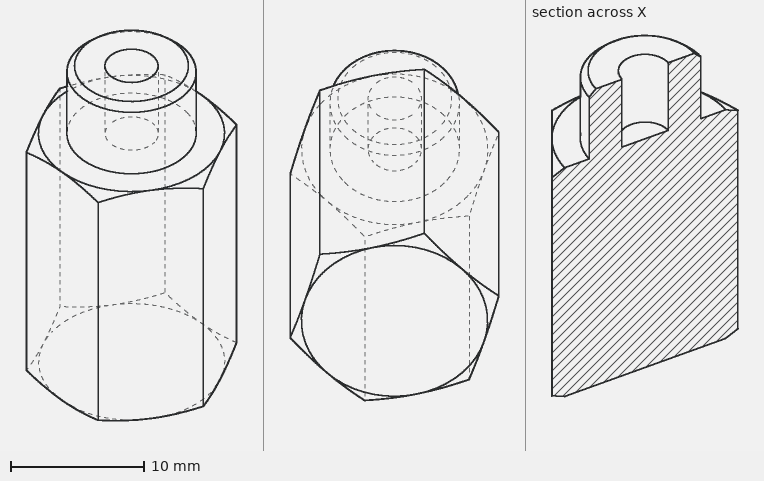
import cadquery as cq
import math

across_flats = 14.0
body_height = 22.0
half_sector_angle = 30.0
across_corners = across_flats / math.cos(math.radians(half_sector_angle))
corner_chamfer_angle = 25.0

stud_diameter = 9.73
stud_tip_diameter = 8.57
stud_length = 6.5
stud_chamfer = (stud_diameter - stud_tip_diameter) / 2

bore_diameter = 4.0
bore_depth = stud_length


def chamfer_envelope():
    """Round solid, coned at both ends, that trims the corners of the hexagon."""
    end_radius = across_flats / 2
    corner_radius = across_corners / 2
    cone_height = (corner_radius - end_radius) * math.tan(math.radians(corner_chamfer_angle))
    profile = [
        (0, 0),
        (end_radius, 0),
        (corner_radius, cone_height),
        (corner_radius, body_height - cone_height),
        (end_radius, body_height),
        (0, body_height),
    ]
    return cq.Workplane("XZ").polyline(profile).close().revolve(360, (0, 0, 0), (0, 1, 0))


def hex_body():
    """Hexagonal prism with corners on the Y axis and chamfered ends."""
    prism = cq.Workplane("XY").polygon(6, across_corners).extrude(body_height)
    prism = prism.rotate((0, 0, 0), (0, 0, 1), half_sector_angle)
    return prism.intersect(chamfer_envelope())


def stud():
    """Cylindrical stud with a chamfered tip."""
    base = cq.Workplane("XY").workplane(offset=body_height)
    cylinder = base.circle(stud_diameter / 2).extrude(stud_length)
    return cylinder.faces(">Z").chamfer(stud_chamfer)


def bore():
    """Cutter for the flat-bottomed bore in the stud."""
    tip_height = body_height + stud_length
    tip = cq.Workplane("XY").workplane(offset=tip_height)
    return tip.circle(bore_diameter / 2).extrude(-bore_depth)


result = hex_body().union(stud()).cut(bore())